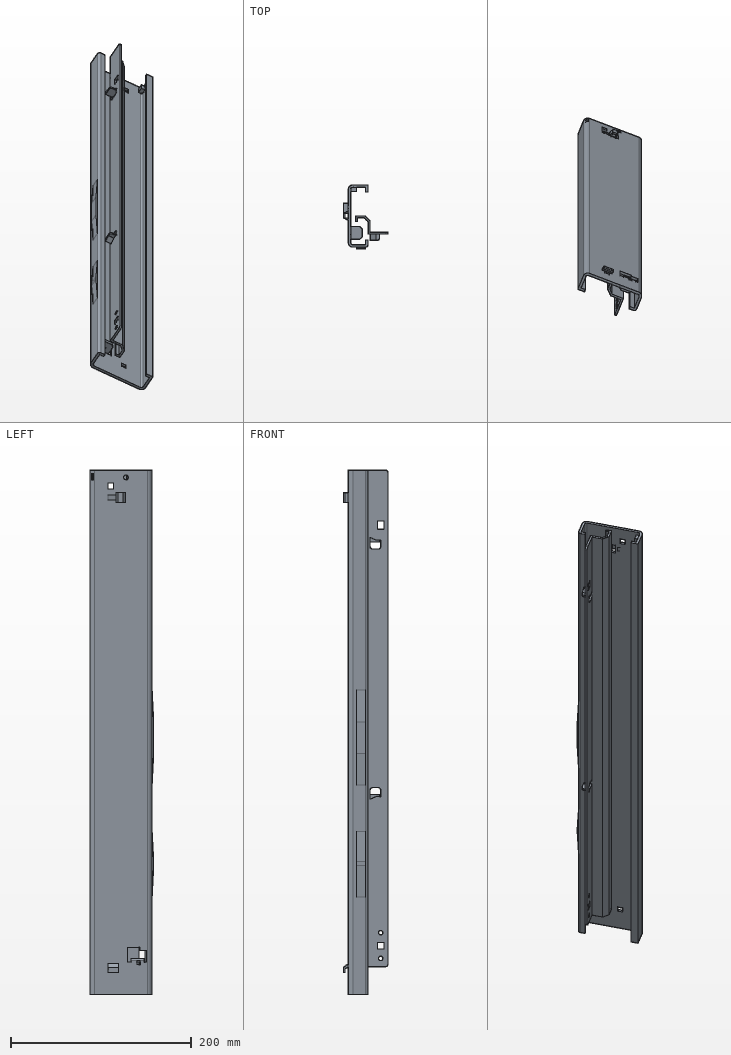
import cadquery as cq
import math

LENGTH = 580.0

CHANNEL_DEPTH = 22.0
CHANNEL_WIDTH = 69.0
CHANNEL_SHEET = 3.0
WEB_BEND = 5.0
LIP_BEND = 3.0
LIP_LENGTH = 8.0

RAMP_STATIONS = [(108.0, 142.5, 147.5, 180.5), (232.0, 267.0, 301.5, 337.0)]
RAMP_HEIGHT = 2.0
RAMP_X_MIN = 9.0
RAMP_X_MAX = CHANNEL_DEPTH - LIP_BEND

HOOK_REACH = 5.0
HOOK_SHEET = 2.0

BRACKET_SHEET = 2.5
BRACKET_BOTTOM = 31.0
HOOK_LIP_X = 8.0
HOOK_LIP_END = 28.5
HOOK_TOP = 35.0
SHOULDER = 6.0
WALL_X = 24.5
FLANGE_TOP = 17.0
FLANGE_END = 44.0
FLANGE_BOTTOM = FLANGE_TOP - BRACKET_SHEET
FLANGE_CORNER = 3.0

HOLE_X = 36.0
RECT_HOLE_WIDTH = 7.0
RECT_HOLES = [(54.0, 7.0), (519.0, 8.5)]
ROUND_HOLE = 4.5
ROUND_HOLES_Z = [40.0, 68.5]

LANCED_SLOTS = [(224.0, -1), (497.5, 1)]
SLOT_END_X = 36.0
SLOT_HEIGHT = 10.0
SLOT_CORNER = 3.0
TAB_END_X = 35.0
TAB_SHEET = 2.5
TAB_LOW_Y = 7.5
TAB_FOOT_X = 31.0
TAB_FOOT_DEPTH = 3.0


def block(x_range, y_range, z_range):
    """Box between the given limits on each axis."""
    sizes = [high - low for low, high in (x_range, y_range, z_range)]
    corner = (x_range[0], y_range[0], z_range[0])
    return cq.Workplane("XY").box(*sizes, centered=False).translate(corner)


def through_web(y_range, z_range):
    """Rectangular cutter that passes through the channel web."""
    return block((-CHANNEL_SHEET, 2 * CHANNEL_SHEET), y_range, z_range)


def channel_profile():
    """Closed rounded tube, opened along its +X side so that two lips remain."""
    outer = block((0, CHANNEL_DEPTH), (0, CHANNEL_WIDTH), (0, LENGTH))
    outer = outer.edges("|Z and <X").fillet(WEB_BEND)
    outer = outer.edges("|Z and >X and <Y").fillet(LIP_BEND)
    inner = block(
        (CHANNEL_SHEET, CHANNEL_DEPTH - CHANNEL_SHEET),
        (CHANNEL_SHEET, CHANNEL_WIDTH - CHANNEL_SHEET),
        (0, LENGTH),
    )
    inner = inner.edges("|Z and <X").fillet(WEB_BEND - CHANNEL_SHEET)
    mouth = block(
        (CHANNEL_DEPTH / 2, CHANNEL_DEPTH),
        (LIP_LENGTH, CHANNEL_WIDTH - LIP_LENGTH),
        (0, LENGTH),
    )
    return outer.cut(inner).cut(mouth)


def flange_ramp(stations):
    """Low trapezoidal rise on the outside of the lower flange."""
    foot_low, plateau_low, plateau_high, foot_high = stations
    return (
        cq.Workplane("YZ", origin=(RAMP_X_MIN, 0, 0))
        .moveTo(0, foot_low)
        .lineTo(-RAMP_HEIGHT, plateau_low)
        .lineTo(-RAMP_HEIGHT, plateau_high)
        .lineTo(0, foot_high)
        .close()
        .extrude(RAMP_X_MAX - RAMP_X_MIN)
    )


def add_upper_hook(channel):
    """Strap arched along Y over an opening, with a sloping pocket leading to it."""
    y_low, crest_low, crest_high, y_high = 29.5, 32.5, 37.5, 40.0
    z_low, z_high = 544.0, 555.0
    pocket_y_high = 49.0
    pocket_z_low, pocket_z_high = 547.0, 552.0
    pocket_depth = 2.5

    strap = (
        cq.Workplane("XY", origin=(0, 0, z_low))
        .polyline([
            (CHANNEL_SHEET, y_low),
            (0, y_low),
            (-HOOK_REACH, crest_low),
            (-HOOK_REACH, crest_high),
            (0, y_high),
            (CHANNEL_SHEET, y_high),
        ])
        .close()
        .extrude(z_high - z_low)
    )
    tunnel = block(
        (HOOK_SHEET - HOOK_REACH, CHANNEL_SHEET), (crest_low, crest_high), (z_low, z_high)
    )
    pocket = (
        cq.Workplane("XY", origin=(0, 0, pocket_z_low))
        .polyline([(0, y_high), (pocket_depth, y_high), (0, pocket_y_high)])
        .close()
        .extrude(pocket_z_high - pocket_z_low)
    )
    return channel.union(strap).cut(tunnel).cut(pocket)


def add_lower_hook(channel):
    """Strap folded along Z: it leans out of the web and stays open at its lower end."""
    y_low, y_high = 37.0, 49.0
    z_low, z_crest, z_high = 24.5, 30.0, 34.0
    slot_y_low, slot_y_high = 40.0, 46.0

    strap = (
        cq.Workplane("XZ", origin=(0, y_high, 0))
        .polyline([
            (CHANNEL_SHEET, z_high),
            (0, z_high),
            (-HOOK_REACH, z_crest),
            (-HOOK_REACH, z_low),
            (HOOK_SHEET - HOOK_REACH, z_low),
            (HOOK_SHEET - HOOK_REACH, z_crest - HOOK_SHEET),
            (0, z_crest),
            (CHANNEL_SHEET, z_crest),
        ])
        .close()
        .extrude(y_high - y_low)
    )
    slot = through_web((slot_y_low, slot_y_high), (z_low, z_crest))
    return channel.cut(slot).union(strap)


def add_window_and_shelf(channel):
    """Stepped window in the web with a shelf folded inward at its lower edge and a relief under it."""
    y_low, y_step, y_high = 6.5, 14.0, 27.0
    z_low, z_step, z_high = 36.0, 49.0, 52.0
    shelf_y_low, shelf_y_high = 8.5, 23.0
    shelf_end_x = 15.5
    shelf_top = 40.0
    shelf_corner = 3.0
    shelf_bend = 2.5
    relief_y_low, relief_y_high = 13.5, 17.0
    relief_end_x = 8.5
    relief_bottom, relief_top = 33.0, 37.5

    window = through_web((y_low, y_high), (z_low, z_step))
    window = window.union(through_web((y_step, y_high), (z_step, z_high)))
    shelf = block((0, shelf_end_x), (shelf_y_low, shelf_y_high), (z_low, shelf_top))
    shelf = shelf.edges("|Z and >X").chamfer(shelf_corner)
    shelf = shelf.edges("|Y and <X and >Z").fillet(shelf_bend)
    relief = block((0, relief_end_x), (relief_y_low, relief_y_high), (relief_bottom, relief_top))
    return channel.cut(window).union(shelf).cut(relief)


def add_top_corner_tab(channel):
    """Slot through the upper bend with a small tab turned inward beside it."""
    z_low, z_high = 569.0, 576.0
    slot_y_low, slot_y_high = 65.0, 67.0
    tab_y_low, tab_y_high = 61.5, 66.0
    tab_end_x = 9.0

    slot = through_web((slot_y_low, slot_y_high), (z_low, z_high))
    tab = block((CHANNEL_SHEET, tab_end_x), (tab_y_low, tab_y_high), (z_low, z_high))
    return channel.cut(slot).union(tab)


def cut_web_holes(channel):
    """Round and rectangular holes near the top of the web."""
    round_y, round_z, round_diameter = 29.0, 572.0, 5.0
    square_y_low, square_y_high = 43.0, 49.0
    square_z_low, square_z_high = 559.0, 565.5

    round_hole = (
        cq.Workplane("YZ", origin=(-CHANNEL_SHEET, round_y, round_z))
        .circle(round_diameter / 2)
        .extrude(3 * CHANNEL_SHEET)
    )
    square_hole = through_web((square_y_low, square_y_high), (square_z_low, square_z_high))
    return channel.cut(round_hole).cut(square_hole)


def make_channel():
    channel = channel_profile()
    for stations in RAMP_STATIONS:
        channel = channel.union(flange_ramp(stations))
    channel = add_upper_hook(channel)
    channel = add_lower_hook(channel)
    channel = add_window_and_shelf(channel)
    channel = add_top_corner_tab(channel)
    return cut_web_holes(channel)


def bracket_profile():
    """Bent sheet: outer face along one side of the outline, inner face back along the other."""
    corner_shift = BRACKET_SHEET * math.tan(math.radians(22.5))
    shoulder_x = WALL_X - SHOULDER
    shoulder_y = HOOK_TOP - SHOULDER
    wall_inner_x = WALL_X - BRACKET_SHEET
    top_inner_y = HOOK_TOP - BRACKET_SHEET
    outer_face = [
        (HOOK_LIP_X, HOOK_LIP_END),
        (HOOK_LIP_X, HOOK_TOP),
        (shoulder_x, HOOK_TOP),
        (WALL_X, shoulder_y),
        (WALL_X, FLANGE_TOP),
        (FLANGE_END, FLANGE_TOP),
    ]
    inner_face = [
        (FLANGE_END, FLANGE_BOTTOM),
        (wall_inner_x, FLANGE_BOTTOM),
        (wall_inner_x, shoulder_y - corner_shift),
        (shoulder_x - corner_shift, top_inner_y),
        (HOOK_LIP_X + BRACKET_SHEET, top_inner_y),
        (HOOK_LIP_X + BRACKET_SHEET, HOOK_LIP_END),
    ]
    sheet = (
        cq.Workplane("XY", origin=(0, 0, BRACKET_BOTTOM))
        .polyline(outer_face + inner_face)
        .close()
        .extrude(LENGTH - BRACKET_BOTTOM)
    )
    return sheet.faces(">X").edges("|Y").fillet(FLANGE_CORNER)


def flange_holes():
    """Cutters for the rectangular and round holes of the flange."""
    flange_plane = cq.Workplane("XZ", origin=(0, FLANGE_TOP, 0))
    cutters = (
        flange_plane.pushPoints([(HOLE_X, z) for z in ROUND_HOLES_Z])
        .circle(ROUND_HOLE / 2)
        .extrude(BRACKET_SHEET)
    )
    for centre_z, height in RECT_HOLES:
        rectangle = flange_plane.center(HOLE_X, centre_z).rect(RECT_HOLE_WIDTH, height)
        cutters = cutters.union(rectangle.extrude(BRACKET_SHEET))
    return cutters


def lanced_slot(centre_z, side):
    """Slot cutter, rounded on the edge away from the tab."""
    slot = block(
        (WALL_X, SLOT_END_X),
        (FLANGE_BOTTOM, FLANGE_TOP),
        (centre_z - SLOT_HEIGHT / 2, centre_z + SLOT_HEIGHT / 2),
    )
    rounded_side = "<Z" if side > 0 else ">Z"
    return slot.faces(rounded_side).edges("|Y").fillet(SLOT_CORNER)


def lanced_tab(centre_z, side):
    """Tab folded down from the slot edge, with a triangular foot next to the wall."""
    slot_edge = centre_z + side * SLOT_HEIGHT / 2
    free_face = slot_edge - side * TAB_SHEET
    tab = (
        cq.Workplane("XZ", origin=(0, FLANGE_TOP, 0))
        .polyline([
            (WALL_X, free_face),
            (TAB_END_X, free_face),
            (TAB_END_X, slot_edge),
            (TAB_FOOT_X, slot_edge),
            (WALL_X, slot_edge + side * TAB_FOOT_DEPTH),
        ])
        .close()
        .extrude(FLANGE_TOP - TAB_LOW_Y)
    )
    return tab.faces(">X").edges("<Y").fillet(SLOT_CORNER)


def make_bracket():
    bracket = bracket_profile().cut(flange_holes())
    for centre_z, side in LANCED_SLOTS:
        bracket = bracket.cut(lanced_slot(centre_z, side))
        bracket = bracket.union(lanced_tab(centre_z, side))
    return bracket


channel = make_channel()
bracket = make_bracket()
result = cq.Compound.makeCompound([channel.solids().val(), bracket.solids().val()])